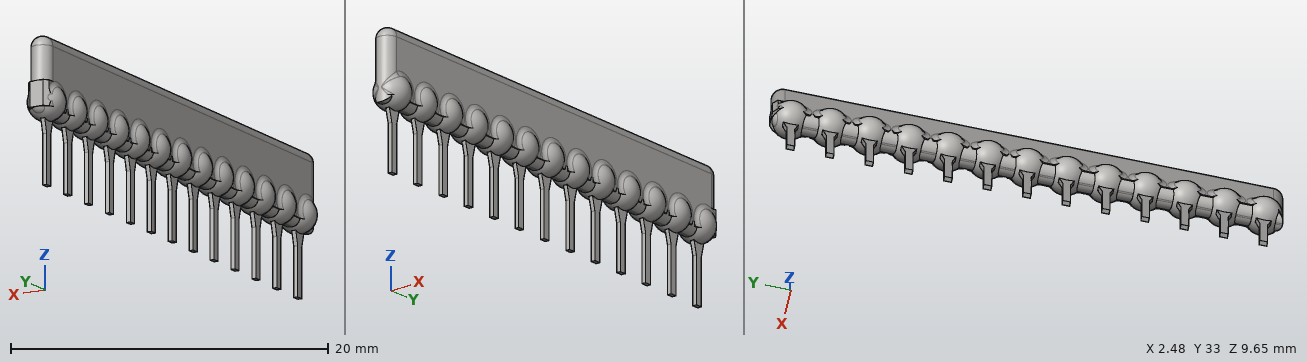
import cadquery as cq
import math

pin_count = 13
pin_pitch = 2.54
pin_thickness = 0.3
pin_width = 0.5
shoulder_width = 1.0
taper_bottom = 3.35
taper_top = 4.35

body_length = 32.97
body_thickness = 1.5
body_bottom = 4.48
body_top = 9.65
body_height = body_top - body_bottom
edge_radius = body_thickness / 2
bottom_radius = 0.7
straight_length = body_length - 2 * edge_radius

bead_radius = 1.24
bead_height = 5.45
blend_radius = 0.55
blend_bottom = 4.9

end_block_top = 6.6
end_block_flat = 0.96

keep_size = 2 * body_length

pin_positions = [(i - (pin_count - 1) / 2) * pin_pitch for i in range(pin_count)]


def keep_above(solid, level):
    """The part of a solid that lies above a height."""
    block = cq.Workplane("XY", origin=(0, 0, level)).box(
        keep_size, keep_size, keep_size, centered=(True, True, False)
    )
    return solid.intersect(block)


def keep_end(solid, side):
    """The half of a solid at -Y (side = -1) or +Y (side = 1)."""
    block = cq.Workplane("XY", origin=(0, side * keep_size / 2, 0)).box(keep_size, keep_size, keep_size)
    return solid.intersect(block)


def make_slab(bottom):
    """Slab with fully rounded ends and top, left square at its bottom."""
    rim_height = body_top - edge_radius
    slab = cq.Workplane("XY", origin=(0, 0, bottom)).slot2D(body_length, body_thickness, 90)
    slab = slab.extrude(rim_height - bottom)
    rim = cq.Workplane("XZ", origin=(0, straight_length / 2, rim_height)).circle(edge_radius)
    slab = slab.union(rim.extrude(straight_length))
    for side in (-1, 1):
        corner = cq.Workplane("XY", origin=(0, side * straight_length / 2, rim_height)).sphere(edge_radius)
        slab = slab.union(corner)
    return slab


def make_body():
    """Slab with a rounded bottom; the rounding runs straight out at -Y and turns the corner at +Y."""
    slab = make_slab(body_bottom)
    straight_rounding = (
        cq.Workplane("XY", origin=(0, 0, body_bottom))
        .box(body_thickness, body_length, body_height, centered=(True, True, False))
        .edges("|Y and <Z")
        .fillet(bottom_radius)
    )
    front = keep_end(slab.intersect(straight_rounding), -1)
    back = keep_end(slab.faces("<Z").edges().fillet(bottom_radius), 1)
    return front.union(back)


def make_bead(y):
    seam_angle = 90 if y < 0 else -90
    bead = cq.Workplane("XY").sphere(bead_radius).rotate((0, 0, 0), (0, 0, 1), seam_angle)
    return bead.translate((0, y, bead_height))


def make_blend(y):
    """Concave ring, revolved about X, that joins a bead to both flat faces of the body."""
    wall = body_thickness / 2
    blend_x = wall + blend_radius
    blend_reach = math.sqrt((bead_radius + blend_radius) ** 2 - blend_x**2)
    tangent_scale = bead_radius / (bead_radius + blend_radius)
    tangent_x = blend_x * tangent_scale
    tangent_reach = blend_reach * tangent_scale
    start_angle = math.radians(180)
    end_angle = math.atan2(-blend_reach, -blend_x) + 2 * math.pi
    middle_angle = (start_angle + end_angle) / 2
    middle_x = blend_x + blend_radius * math.cos(middle_angle)
    middle_reach = blend_reach + blend_radius * math.sin(middle_angle)
    ring = (
        cq.Workplane("XY")
        .moveTo(-tangent_x, 0)
        .lineTo(-tangent_x, tangent_reach)
        .threePointArc((-middle_x, middle_reach), (-wall, blend_reach))
        .lineTo(wall, blend_reach)
        .threePointArc((middle_x, middle_reach), (tangent_x, tangent_reach))
        .lineTo(tangent_x, 0)
        .close()
        .revolve(360, (0, 0, 0), (1, 0, 0))
    )
    return keep_above(ring.translate((0, y, bead_height)), blend_bottom)


def make_front_blend():
    """First bead filleted onto the body, where the joint runs around the rounded -Y end."""
    y = pin_positions[0]
    bead_top = bead_height + bead_radius
    bead_bottom = bead_height - bead_radius
    slab = keep_end(make_slab(bead_bottom - bead_radius), -1)
    joint_region = cq.selectors.BoxSelector(
        (-bead_radius, y - pin_pitch / 2, bead_bottom),
        (bead_radius, y + pin_pitch / 2, bead_top),
        boundingbox=True,
    )
    blended = slab.union(make_bead(y)).edges(joint_region).fillet(blend_radius)
    return keep_above(blended, blend_bottom)


def make_back_blend():
    """Last bead's blend on a squared-off +Y end, both trimmed by the same 45 degree corners."""
    depth = edge_radius
    block_height = end_block_top - blend_bottom
    block = cq.Workplane("XY", origin=(0, body_length / 2 - depth / 2, blend_bottom)).box(
        body_thickness, depth, block_height, centered=(True, True, False)
    )
    bead_width = 2 * bead_radius
    corner_trim = (
        cq.Workplane("XY", origin=(0, 0, blend_bottom))
        .box(bead_width, body_length, body_height, centered=(True, True, False))
        .edges("|Z and >Y")
        .chamfer((bead_width - end_block_flat) / 2)
    )
    return block.union(make_blend(pin_positions[-1])).intersect(corner_trim)


def make_pin(y):
    half_pin = pin_width / 2
    half_shoulder = shoulder_width / 2
    return (
        cq.Workplane("YZ", origin=(-pin_thickness / 2, y, 0))
        .moveTo(-half_pin, 0)
        .lineTo(half_pin, 0)
        .lineTo(half_pin, taper_bottom)
        .lineTo(half_shoulder, taper_top)
        .lineTo(half_shoulder, bead_height)
        .lineTo(-half_shoulder, bead_height)
        .lineTo(-half_shoulder, taper_top)
        .lineTo(-half_pin, taper_bottom)
        .close()
        .extrude(pin_thickness)
    )


result = make_body().union(make_front_blend()).union(make_back_blend())
for y in pin_positions[1:-1]:
    result = result.union(make_blend(y))
for y in pin_positions:
    result = result.union(make_bead(y)).union(make_pin(y))